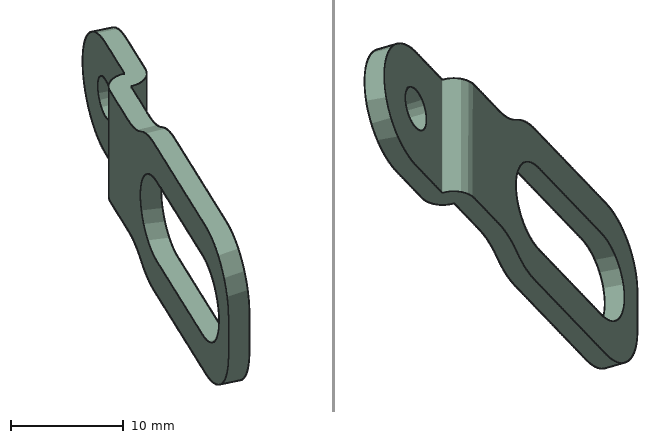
import cadquery as cq
import math

length = 44.0
thickness = 2.0
bend_inner_radius = 0.065
bend_outer_radius = bend_inner_radius + thickness
depth = 2 * bend_outer_radius

tab_width = 12.0
tab_radius = tab_width / 2
hole_diameter = 4.0
bend_start_x = 10.95
bend_end_x = bend_start_x + bend_inner_radius + bend_outer_radius

wide_width = 16.0
corner_radius = 6.0
flare_start_x = 17.8
flare_radius = 6.0

slot_start_x = 21.0
slot_length = 20.5
slot_width = 8.62


def jogged_strip():
    """Sheet with two opposite quarter bends, extruded over the full width."""
    mid_y = depth / 2
    diagonal = math.sqrt(0.5)
    inner_mid = bend_inner_radius * diagonal
    outer_mid = bend_outer_radius * diagonal
    return (
        cq.Workplane("XY")
        .moveTo(0, depth)
        .lineTo(bend_start_x, depth)
        .threePointArc(
            (bend_start_x + outer_mid, mid_y + outer_mid),
            (bend_start_x + bend_outer_radius, mid_y),
        )
        .threePointArc(
            (bend_end_x - inner_mid, mid_y - inner_mid),
            (bend_end_x, thickness),
        )
        .lineTo(length, thickness)
        .lineTo(length, 0)
        .lineTo(bend_end_x, 0)
        .threePointArc(
            (bend_end_x - outer_mid, mid_y - outer_mid),
            (bend_end_x - bend_outer_radius, mid_y),
        )
        .threePointArc(
            (bend_start_x + inner_mid, mid_y + inner_mid),
            (bend_start_x, depth - thickness),
        )
        .lineTo(0, depth - thickness)
        .close()
        .extrude(wide_width / 2, both=True)
    )


def extrude_through(sketch):
    """Extrude an XZ sketch through the whole depth of the part."""
    return sketch.extrude(-depth)


def face_outline():
    """Plan outline of the part, symmetric about the X axis."""
    tab_z = tab_width / 2
    wide_z = wide_width / 2
    half_step = (wide_z - tab_z) / 2
    half_run = math.sqrt(flare_radius**2 - (flare_radius - half_step) ** 2)
    middle_x = flare_start_x + half_run
    flare_end_x = middle_x + half_run
    corner_x = length - corner_radius
    corner_z = wide_z - corner_radius
    sketch = (
        cq.Workplane("XZ")
        .moveTo(tab_radius, -tab_z)
        .threePointArc((0, 0), (tab_radius, tab_z))
        .lineTo(flare_start_x, tab_z)
        .radiusArc((middle_x, tab_z + half_step), -flare_radius)
        .radiusArc((flare_end_x, wide_z), flare_radius)
        .lineTo(corner_x, wide_z)
        .radiusArc((length, corner_z), corner_radius)
        .lineTo(length, -corner_z)
        .radiusArc((corner_x, -wide_z), corner_radius)
        .lineTo(flare_end_x, -wide_z)
        .radiusArc((middle_x, -tab_z - half_step), flare_radius)
        .radiusArc((flare_start_x, -tab_z), -flare_radius)
        .close()
    )
    return extrude_through(sketch)


def hole():
    sketch = cq.Workplane("XZ").center(tab_radius, 0).circle(hole_diameter / 2)
    return extrude_through(sketch)


def slot():
    center_x = slot_start_x + slot_length / 2
    sketch = cq.Workplane("XZ").center(center_x, 0).slot2D(slot_length, slot_width)
    return extrude_through(sketch)


result = jogged_strip().intersect(face_outline()).cut(hole()).cut(slot())